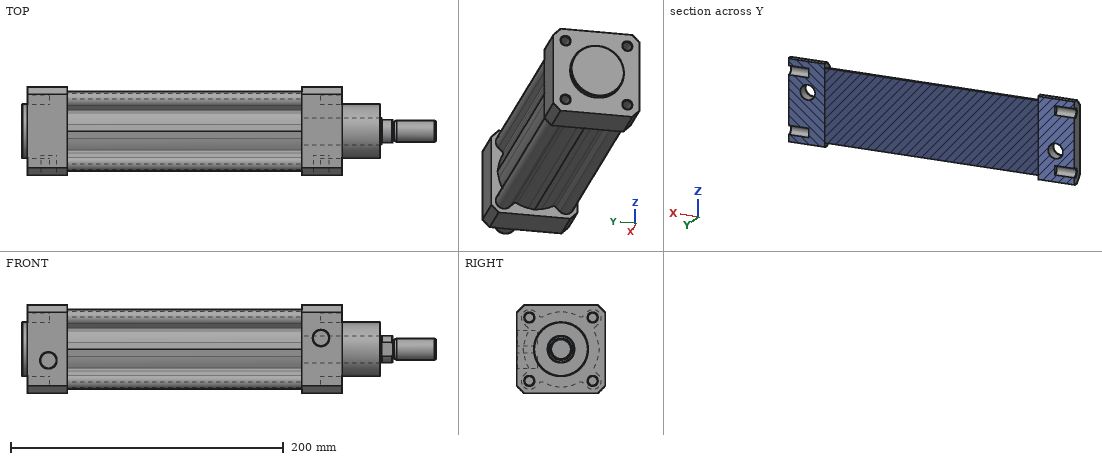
import cadquery as cq
import math


cover_size = 65.0
cover_length = 29.5
cover_corner = 5.5
spigot_diameter = 40.0
rear_spigot_length = 4.0
front_spigot_length = 28.0
spigot_chamfer = 0.5

screw_spacing = 46.5
screw_hole_diameter = 6.8
screw_hole_depth = 16.0
screw_hole_chamfer = 0.5

port_diameter = 11.5
port_depth = 15.0
port_chamfer = 0.5
port_height = 8.2
port_setback = 15.5

barrel_length = 172.0
barrel_radius = 27.5
rail_radius = 6.0
web_fillet = 2.0
ridge_half_width = 5.0

rod_diameter = 20.0
rod_extension = 37.0
rod_flat_width = 17.0
rod_flat_length = 8.0
rod_chamfer = 0.5
thread_diameter = 16.0
thread_length = 32.0
thread_end_diameter = 14.2
thread_end_chamfer = 1.3
relief_diameter = 14.2
relief_length = 1.2
relief_taper = 1.8

barrel_start = cover_length
barrel_end = barrel_start + barrel_length
front_face = barrel_end + cover_length
shoulder = front_face + rod_extension
rod_end = shoulder + thread_length


def cylinder_x(start, length, diameter):
    """Plain round body along X."""
    return cq.Workplane("YZ", origin=(start, 0, 0)).circle(diameter / 2).extrude(length)


def make_cover_block(start):
    """Square cover with its four long edges chamfered."""
    block = cq.Workplane("YZ", origin=(start, 0, 0)).rect(cover_size, cover_size).extrude(cover_length)
    return block.edges("|X").chamfer(cover_corner)


def make_blind_hole(mouth, direction, diameter, depth, chamfer):
    """Tool for a blind hole with a chamfered mouth, cutting along the given direction."""
    radius = diameter / 2
    hole = (
        cq.Workplane("XZ")
        .moveTo(0, 0)
        .lineTo(radius + chamfer, 0)
        .lineTo(radius, chamfer)
        .lineTo(radius, depth)
        .lineTo(0, depth)
        .close()
        .revolve(360, (0, 0, 0), (0, 1, 0))
    )
    frame = cq.Plane(origin=mouth, normal=direction)
    return cq.Workplane(hole.val().moved(cq.Location(frame)))


def cut_screw_holes(cover, face, direction):
    """Cut the four screw holes that start on an outer cover face."""
    offset = screw_spacing / 2
    for y in (-offset, offset):
        for z in (-offset, offset):
            mouth = (face, y, z)
            hole = make_blind_hole(
                mouth, (direction, 0, 0), screw_hole_diameter, screw_hole_depth, screw_hole_chamfer
            )
            cover = cover.cut(hole)
    return cover


def make_port(x, z):
    """Tool for an air port that opens on the -Y side."""
    mouth = (x, -cover_size / 2, z)
    return make_blind_hole(mouth, (0, 1, 0), port_diameter, port_depth, port_chamfer)


def make_rear_cover():
    spigot = cylinder_x(-rear_spigot_length, rear_spigot_length, spigot_diameter)
    spigot = spigot.faces("<X").chamfer(spigot_chamfer)
    cover = make_cover_block(0).union(spigot)
    cover = cut_screw_holes(cover, 0, 1)
    return cover.cut(make_port(port_setback, -port_height))


def make_front_cover():
    spigot = cylinder_x(front_face, front_spigot_length, spigot_diameter)
    spigot = spigot.faces(">X").chamfer(spigot_chamfer)
    cover = make_cover_block(barrel_end).union(spigot)
    cover = cut_screw_holes(cover, front_face, -1)
    cover = cover.cut(make_port(front_face - port_setback, port_height))
    rod_bore = cylinder_x(barrel_end, cover_length + front_spigot_length, rod_diameter)
    return cover.cut(rod_bore)


def make_barrel():
    """Round profile with a low ridge on each side and a rail on a filleted web at each corner."""
    rail_center = screw_spacing / math.sqrt(2)
    fillet_reach = barrel_radius + web_fillet
    fillet_v = rail_radius + web_fillet
    fillet_angle = math.asin(fillet_v / fillet_reach)
    fillet_u = fillet_reach * math.cos(fillet_angle)

    fillet_start = (barrel_radius * math.cos(fillet_angle), barrel_radius * math.sin(fillet_angle))
    fillet_mid_angle = (math.pi + fillet_angle + 3 * math.pi / 2) / 2
    fillet_mid = (
        fillet_u + web_fillet * math.cos(fillet_mid_angle),
        fillet_v + web_fillet * math.sin(fillet_mid_angle),
    )
    fillet_end = (fillet_u, rail_radius)

    ridge_angle = math.asin(ridge_half_width / barrel_radius)
    ridge_peak = barrel_radius / math.cos(ridge_angle)

    def mirrored(point):
        return (point[0], -point[1])

    plane = cq.Workplane("YZ", origin=(barrel_start, 0, 0))
    barrel = plane.circle(barrel_radius).extrude(barrel_length)
    corner = (
        plane.moveTo(0, 0)
        .lineTo(*fillet_start)
        .threePointArc(fillet_mid, fillet_end)
        .lineTo(rail_center, rail_radius)
        .threePointArc((rail_center + rail_radius, 0), (rail_center, -rail_radius))
        .lineTo(*mirrored(fillet_end))
        .threePointArc(mirrored(fillet_mid), mirrored(fillet_start))
        .close()
        .extrude(barrel_length)
    )
    ridge_base = (barrel_radius * math.cos(ridge_angle), ridge_half_width)
    ridge = (
        plane.polyline([(0, 0), mirrored(ridge_base), (ridge_peak, 0), ridge_base])
        .close()
        .extrude(barrel_length)
    )
    for turn in range(4):
        side = 90 * turn
        barrel = barrel.union(corner.rotate((0, 0, 0), (1, 0, 0), side + 45))
        barrel = barrel.union(ridge.rotate((0, 0, 0), (1, 0, 0), side))
    return barrel


def make_rod():
    """Turned rod with two wrench flats in front of a V-groove, and a relieved, chamfered thread end."""
    rod_radius = rod_diameter / 2
    thread_radius = thread_diameter / 2
    flat_start = shoulder - rod_flat_length
    relief_radius = relief_diameter / 2
    relief_end = shoulder + relief_length
    rod = (
        cq.Workplane("XY")
        .moveTo(barrel_end, 0)
        .lineTo(barrel_end, rod_radius)
        .lineTo(flat_start - rod_chamfer, rod_radius)
        .lineTo(flat_start, rod_radius - rod_chamfer)
        .lineTo(flat_start + rod_chamfer, rod_radius)
        .lineTo(shoulder - rod_chamfer, rod_radius)
        .lineTo(shoulder, rod_radius - rod_chamfer)
        .lineTo(shoulder, relief_radius)
        .lineTo(relief_end, relief_radius)
        .lineTo(relief_end + relief_taper, thread_radius)
        .lineTo(rod_end - thread_end_chamfer, thread_radius)
        .lineTo(rod_end, thread_end_diameter / 2)
        .lineTo(rod_end, 0)
        .close()
        .revolve(360, (0, 0, 0), (1, 0, 0))
    )
    flat_depth = (rod_diameter - rod_flat_width) / 2
    for side in (-1, 1):
        flat_y = side * (rod_flat_width + flat_depth) / 2
        flat = cq.Workplane("XY").box(rod_flat_length, flat_depth, rod_diameter)
        rod = rod.cut(flat.translate((shoulder - rod_flat_length / 2, flat_y, 0)))
    return rod


rear_cover = make_rear_cover()
front_cover = make_front_cover()
barrel = make_barrel()
rod = make_rod()

result = cq.Compound.makeCompound([rear_cover.val(), front_cover.val(), barrel.val(), rod.val()])